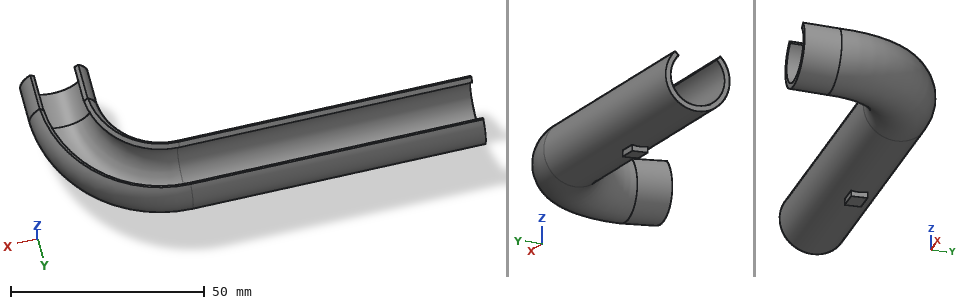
import cadquery as cq
import math

outer_radius = 9.0
inner_radius = 7.6
opening_half_angle = math.radians(45)

straight_length = 78.0
bend_radius = 26.0
leg_length = 9.9
leg_tilt = 3.0
bend_trim = 1.1

pad_length = 6.1
pad_width = 4.4
pad_drop = 1.4
pad_start = 36.6
pad_offset_y = 0.1

leg_x = straight_length + bend_radius
leg_start_y = bend_trim - bend_radius


def open_ring(plane):
    """C-shaped tube section, open towards the plane's local +Y."""
    sine = math.sin(opening_half_angle)
    cosine = math.cos(opening_half_angle)
    return (
        cq.Workplane(plane)
        .moveTo(outer_radius * sine, outer_radius * cosine)
        .threePointArc((0, -outer_radius), (-outer_radius * sine, outer_radius * cosine))
        .lineTo(-inner_radius * sine, inner_radius * cosine)
        .threePointArc((0, -inner_radius), (inner_radius * sine, inner_radius * cosine))
        .close()
    )


straight_plane = cq.Plane(origin=(0, 0, 0), xDir=(0, 1, 0), normal=(1, 0, 0))
straight = open_ring(straight_plane).extrude(straight_length)

bend_plane = cq.Plane(origin=(straight_length, 0, 0), xDir=(0, 1, 0), normal=(1, 0, 0))
bend = open_ring(bend_plane).revolve(90, (-bend_radius, 1.1, 0), (-bend_radius, 0, 0))

tilt = math.radians(leg_tilt)
leg_direction = (0, -math.cos(tilt), math.sin(tilt))
leg_plane = cq.Plane(origin=(leg_x, leg_start_y, 0), xDir=(1, 0, 0), normal=leg_direction)
leg = open_ring(leg_plane).extrude(leg_length)

trim_size = 4 * outer_radius
bend = bend.cut(cq.Workplane(leg_plane).rect(trim_size, trim_size).extrude(leg_length))

pad = (
    cq.Workplane("XY", origin=(pad_start, pad_offset_y, -outer_radius - pad_drop))
    .rect(pad_length, pad_width)
    .extrude(pad_drop + (outer_radius - inner_radius) / 2)
    .translate((pad_length / 2, 0, 0))
)

result = straight.union(bend).union(leg).union(pad)